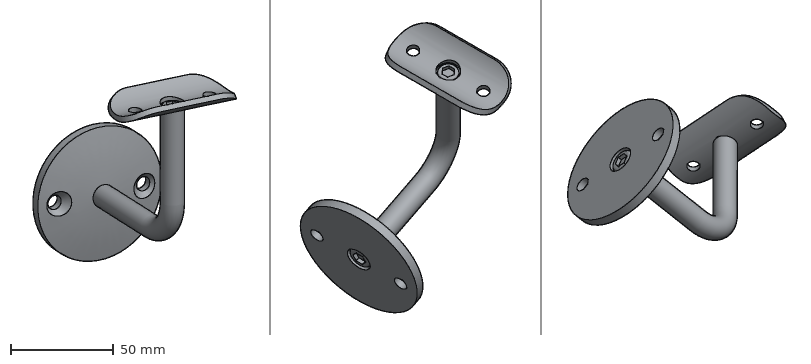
import cadquery as cq
import math

flange_diameter = 70.0
flange_radius = flange_diameter / 2
rim_thickness = 5.0
dome_height = 4.0
dome_radius = (flange_radius**2 + dome_height**2) / (2 * dome_height)
flange_thickness = rim_thickness + dome_height
flange_hole_diameter = 7.4
flange_hole_spacing = 50.0
countersink_diameter = 12.9
countersink_angle = 90

rod_diameter = 12.0
bend_radius = 20.0
rod_height = flange_radius
rod_x = 76.0

overall_height = 113.2
saddle_inner_radius = 21.2
saddle_thickness = 3.0
saddle_outer_radius = saddle_inner_radius + saddle_thickness
saddle_length = 64.0
saddle_corner_radius = 15.0
saddle_half_angle = math.radians(45)
saddle_axis_height = overall_height + saddle_inner_radius * math.cos(saddle_half_angle)
saddle_top = saddle_axis_height - saddle_inner_radius
saddle_bottom = saddle_axis_height - saddle_outer_radius
saddle_hole_diameter = 6.5
saddle_hole_spacing = 42.0

flange_bore_diameter = 13.6
flange_head_diameter = 12.9
flange_land_diameter = 9.3
flange_socket_width = 6.6
saddle_bore_diameter = 12.0
saddle_head_diameter = 10.4
saddle_land_diameter = 8.4
saddle_socket_width = 5.9
head_recess = 0.6
socket_depth = 2.3


def make_flange():
    """Disc with a shallow spherical dome on the rod side."""
    profile = (
        cq.Workplane("XY")
        .lineTo(0, flange_radius)
        .lineTo(rim_thickness, flange_radius)
        .radiusArc((flange_thickness, 0), dome_radius)
        .close()
    )
    return profile.revolve(360, (0, 0, 0), (1, 0, 0)).translate((0, 0, rod_height))


def make_flange_hole(y):
    """Through hole with a countersink opening on the domed side."""
    surface_x = flange_thickness - dome_radius + math.sqrt(dome_radius**2 - y**2)
    hole_start = cq.Workplane("YZ", origin=(0, y, rod_height))
    hole = hole_start.circle(flange_hole_diameter / 2).extrude(flange_thickness)
    cone_height = countersink_diameter / math.tan(math.radians(countersink_angle / 2))
    cone_tip = cq.Vector(surface_x - cone_height / 2, y, rod_height)
    cone = cq.Solid.makeCone(0, countersink_diameter, cone_height, pnt=cone_tip, dir=cq.Vector(1, 0, 0))
    return hole.union(cq.Workplane(cone))


def make_rod():
    """Rod from the flange, bent upwards to the saddle."""
    path = (
        cq.Workplane("XZ")
        .moveTo(rim_thickness, rod_height)
        .lineTo(rod_x - bend_radius, rod_height)
        .radiusArc((rod_x, rod_height + bend_radius), -bend_radius)
        .lineTo(rod_x, saddle_top - saddle_thickness / 2)
    )
    section = cq.Workplane("YZ", origin=(rim_thickness, 0, rod_height)).circle(rod_diameter / 2)
    return section.sweep(path)


def make_corner_waste():
    """Material outside one rounded saddle corner, cut square to the plate at its side face."""
    side_direction = (math.sin(saddle_half_angle), 0, -math.cos(saddle_half_angle))
    side_plane = cq.Plane(origin=(rod_x, 0, saddle_axis_height), xDir=(0, 1, 0), normal=side_direction)
    end = saddle_length / 2
    return (
        cq.Workplane(side_plane)
        .moveTo(end, 0)
        .lineTo(end - saddle_corner_radius, 0)
        .radiusArc((end, -saddle_corner_radius), saddle_corner_radius)
        .close()
        .extrude(saddle_outer_radius)
    )


def make_saddle():
    """Quarter tube with radial side faces and rounded corners."""
    def arc_point(radius, angle):
        return (rod_x + radius * math.sin(angle), saddle_axis_height - radius * math.cos(angle))

    plate = (
        cq.Workplane("XZ")
        .moveTo(*arc_point(saddle_inner_radius, -saddle_half_angle))
        .threePointArc((rod_x, saddle_top), arc_point(saddle_inner_radius, saddle_half_angle))
        .lineTo(*arc_point(saddle_outer_radius, saddle_half_angle))
        .threePointArc((rod_x, saddle_bottom), arc_point(saddle_outer_radius, -saddle_half_angle))
        .close()
        .extrude(saddle_length / 2, both=True)
    )
    corner = make_corner_waste()
    corner = corner.union(corner.mirror("XZ"))
    return plate.cut(corner).cut(corner.mirror("YZ", (rod_x, 0, 0)))


def make_saddle_hole(y):
    """Through hole in the saddle, beside the rod."""
    start = (rod_x, y, saddle_bottom)
    hole = cq.Workplane("XY", origin=start).circle(saddle_hole_diameter / 2)
    return hole.extrude(overall_height - saddle_bottom)


def make_screw_recess(face, bore_diameter, head_diameter, land_diameter, socket_width):
    """Counterbore around a rounded screw head with a hexagon socket.

    The normal of the face plane points out of the part. The bore runs on
    well above the plane so that it also clears a curved surface.
    """
    rounding = (head_diameter - land_diameter) / 2
    floor = cq.Workplane(face).workplane(offset=-head_recess - rounding)
    bore = floor.circle(bore_diameter / 2).extrude(overall_height - saddle_bottom)
    head_shape = (
        cq.Workplane("XZ")
        .lineTo(head_diameter / 2, 0)
        .radiusArc((land_diameter / 2, rounding), -rounding)
        .lineTo(0, rounding)
        .close()
        .revolve(360, (0, 0, 0), (0, 1, 0))
    )
    head = cq.Workplane(head_shape.val().moved(cq.Location(floor.plane)))
    socket = (
        cq.Workplane(face)
        .workplane(offset=-head_recess)
        .polygon(6, socket_width, circumscribed=True)
        .extrude(-socket_depth)
    )
    return bore.cut(head).union(socket)


result = make_flange().union(make_rod()).union(make_saddle())

for side in (-1, 1):
    result = result.cut(make_flange_hole(side * flange_hole_spacing / 2))
    result = result.cut(make_saddle_hole(side * saddle_hole_spacing / 2))

flange_back = cq.Plane(origin=(0, 0, rod_height), xDir=(0, 0, 1), normal=(-1, 0, 0))
saddle_seat = cq.Plane(origin=(rod_x, 0, saddle_top), xDir=(1, 0, 0), normal=(0, 0, 1))

result = result.cut(
    make_screw_recess(
        flange_back,
        flange_bore_diameter,
        flange_head_diameter,
        flange_land_diameter,
        flange_socket_width,
    )
)
result = result.cut(
    make_screw_recess(
        saddle_seat,
        saddle_bore_diameter,
        saddle_head_diameter,
        saddle_land_diameter,
        saddle_socket_width,
    )
)